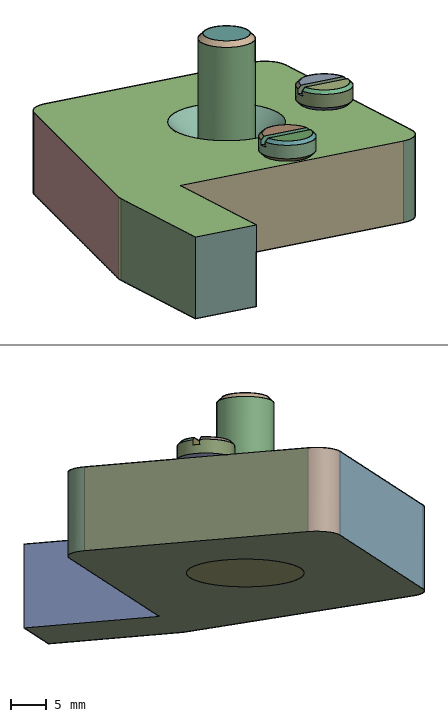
import cadquery as cq

LENGTH = 60.0
BLOCK_WIDTH = LENGTH * 2 / 3
ARM_DEPTH = LENGTH / 6
PLATE_DEPTH = BLOCK_WIDTH + ARM_DEPTH
THICKNESS = LENGTH / 5
CORNER_RADIUS = 3.5

PIN_X = BLOCK_WIDTH / 2
PIN_Y = ARM_DEPTH + BLOCK_WIDTH / 2
PIN_DIAMETER = LENGTH * 2 / 15
PIN_TOP = LENGTH * 5 / 12
PIN_CHAMFER = 0.7
HOLE_DIAMETER = 9.0
COUNTERSINK_DIAMETER = 16.4
COUNTERSINK_DEPTH = (COUNTERSINK_DIAMETER - HOLE_DIAMETER) / 2
PIN_HEAD_HEIGHT = (COUNTERSINK_DIAMETER - PIN_DIAMETER) / 2

HEAD_DIAMETER = PIN_DIAMETER
HEAD_HEIGHT = LENGTH / 20
HEAD_TOP_CHAMFER = 0.5
HEAD_BASE_CHAMFER = 0.55
SLOT_WIDTH = 1.0
SLOT_DEPTH = 1.2
HEAD_CENTRES = [
    (PIN_X, PLATE_DEPTH - HEAD_DIAMETER / 2),
    (BLOCK_WIDTH - HEAD_DIAMETER / 2, PIN_Y),
]


def make_plate():
    outline = [
        (0, PLATE_DEPTH),
        (BLOCK_WIDTH, PLATE_DEPTH),
        (BLOCK_WIDTH, ARM_DEPTH),
        (LENGTH, ARM_DEPTH),
        (LENGTH, 0),
        (BLOCK_WIDTH, 0),
        (0, ARM_DEPTH),
    ]
    plate = cq.Workplane("XY").polyline(outline).close().extrude(THICKNESS)

    rounded_corners = [
        (0, PLATE_DEPTH),
        (BLOCK_WIDTH, PLATE_DEPTH),
        (BLOCK_WIDTH, 0),
        (0, ARM_DEPTH),
    ]
    for x, y in rounded_corners:
        corner = cq.selectors.NearestToPointSelector((x, y, THICKNESS / 2))
        plate = plate.edges("|Z").edges(corner).fillet(CORNER_RADIUS)

    return plate.cut(make_countersunk_hole())


def revolve_about_pin_axis(profile):
    """Turn a closed (radius, Z) profile about the vertical axis of the pin."""
    turned = cq.Workplane("XZ").polyline(profile).close().revolve(360, (0, 0), (0, 1))
    return turned.translate((PIN_X, PIN_Y, 0))


def make_countersunk_hole():
    return revolve_about_pin_axis([
        (0, 0),
        (COUNTERSINK_DIAMETER / 2, 0),
        (HOLE_DIAMETER / 2, COUNTERSINK_DEPTH),
        (HOLE_DIAMETER / 2, THICKNESS - COUNTERSINK_DEPTH),
        (COUNTERSINK_DIAMETER / 2, THICKNESS),
        (0, THICKNESS),
    ])


def make_pin():
    return revolve_about_pin_axis([
        (0, 0),
        (COUNTERSINK_DIAMETER / 2, 0),
        (PIN_DIAMETER / 2, PIN_HEAD_HEIGHT),
        (PIN_DIAMETER / 2, PIN_TOP - PIN_CHAMFER),
        (PIN_DIAMETER / 2 - PIN_CHAMFER, PIN_TOP),
        (0, PIN_TOP),
    ])


def make_screw_head(x, y):
    head = cq.Workplane("XY", origin=(x, y, THICKNESS)).circle(HEAD_DIAMETER / 2).extrude(HEAD_HEIGHT)
    head = head.faces(">Z").chamfer(HEAD_TOP_CHAMFER)
    head = head.faces("<Z").chamfer(HEAD_BASE_CHAMFER)
    slot = (
        cq.Workplane("XY", origin=(x, y, THICKNESS + HEAD_HEIGHT))
        .rect(SLOT_WIDTH, HEAD_DIAMETER)
        .extrude(-SLOT_DEPTH)
    )
    return head.cut(slot)


plate = make_plate()
pin = make_pin()
screw_heads = [make_screw_head(x, y) for x, y in HEAD_CENTRES]

result = cq.Compound.makeCompound(
    [plate.val(), pin.val(), *[head.val() for head in screw_heads]]
)